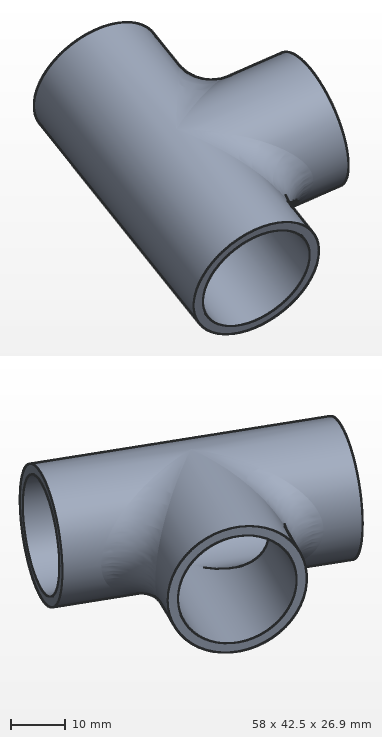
import cadquery as cq
import math

run_length = 58.0
pipe_diameter = 26.9
bore_diameter = 22.9
corner_radius = 8.0

pipe_radius = pipe_diameter / 2
bore_radius = bore_diameter / 2
branch_length = run_length / 2
arc_centre_offset = pipe_radius + corner_radius
section_count = 9

centre = cq.Vector(0, 0, 0)
up = cq.Vector(0, 0, 1)


def run_cylinder(radius):
    """Cylinder along X, centred on the tee centre."""
    return cq.Workplane("YZ").circle(radius).extrude(run_length / 2, both=True)


def branch_cylinder(radius):
    """Cylinder along +Y, starting at the tee centre."""
    return cq.Workplane("XZ").circle(radius).extrude(-branch_length)


def corner_arc_point(turn):
    """Point of the mid-height corner arc, from the branch (turn 0) to the run (turn pi / 2)."""
    return cq.Vector(
        arc_centre_offset - corner_radius * math.cos(turn),
        arc_centre_offset - corner_radius * math.sin(turn),
        0,
    )


def half_ellipse(turn):
    """Upright half ellipse from the lower to the upper crotch point, through the corner arc."""
    outward = corner_arc_point(turn)
    return cq.Edge.makeEllipse(
        outward.Length, pipe_radius, centre, outward.cross(up), outward, -90, 90
    )


def corner_blend():
    """Wedge filling the +X corner; its round shrinks to nothing at the two crotch points."""
    turns = [math.pi / 2 * i / (section_count - 1) for i in range(section_count)]
    sections = [half_ellipse(turn) for turn in turns]
    round_face = cq.occ_impl.shapes.loft(*sections)

    axis = cq.Edge.makeLine(up * -pipe_radius, up * pipe_radius)
    flat_faces = [
        cq.Face.makeFromWires(cq.Wire.assembleEdges([rim, axis]))
        for rim in (sections[0], sections[-1])
    ]
    shell = cq.Shell.makeShell(flat_faces + [round_face])
    return cq.Workplane(cq.Solid.makeSolid(shell))


right_blend = corner_blend()
left_blend = right_blend.mirror("YZ")
body = run_cylinder(pipe_radius).union(branch_cylinder(pipe_radius))
body = body.union(right_blend).union(left_blend)

result = body.cut(run_cylinder(bore_radius)).cut(branch_cylinder(bore_radius))